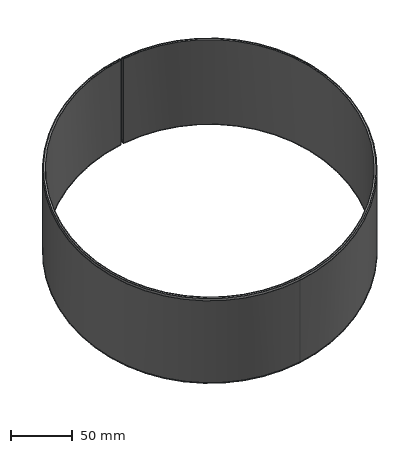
import cadquery as cq

outer_diameter = 270.0
height = 110.0
wall = 2.5
bevel_height = 2.0
bevel_depth = 0.8
slit_width = 2.2

outer_radius = outer_diameter / 2
inner_radius = outer_radius - wall
rim_radius = outer_radius - bevel_depth

wall_section = [
    (inner_radius, 0),
    (rim_radius, 0),
    (outer_radius, bevel_height),
    (outer_radius, height - bevel_height),
    (rim_radius, height),
    (inner_radius, height),
]

band = cq.Workplane("XZ").polyline(wall_section).close().revolve(360, (0, 0, 0), (0, 1, 0))

slit = cq.Workplane("XY").box(outer_radius, slit_width, height, centered=False)
slit = slit.translate((-outer_radius, 0, 0))

result = band.cut(slit)